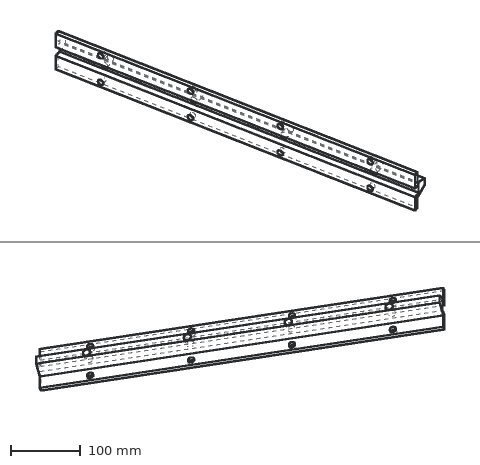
import cadquery as cq

length = 599.5
depth = 28.0
height = 69.0
flange_thickness = 7.0
groove_width = 17.0
groove_depth = 11.0
spine_root_width = 29.0
spine_back_width = 12.5

hole_count = 4
hole_pitch = length / hole_count
flange_hole_diameter = 9.0
flange_hole_spacing = 51.0
spine_hole_diameter = 11.0


def rail_body():
    """Extrude the YZ section, with the flange faces at Y = 0."""
    upper_half = [
        (groove_depth, groove_width / 2),
        (0, groove_width / 2),
        (0, height / 2),
        (flange_thickness, height / 2),
        (flange_thickness, spine_root_width / 2),
        (depth, spine_back_width / 2),
    ]
    lower_half = [(y, -z) for y, z in reversed(upper_half)]
    section = cq.Workplane("YZ").polyline(upper_half + lower_half).close()
    return section.extrude(length / 2, both=True)


def hole_row(z, diameter):
    """Evenly pitched holes along X, running through the full depth."""
    first_x = -(hole_count - 1) * hole_pitch / 2
    centers = [(first_x + i * hole_pitch, z) for i in range(hole_count)]
    return cq.Workplane("XZ").pushPoints(centers).circle(diameter / 2).extrude(-depth)


result = rail_body().cut(hole_row(0, spine_hole_diameter))
for side in (-1, 1):
    result = result.cut(hole_row(side * flange_hole_spacing / 2, flange_hole_diameter))